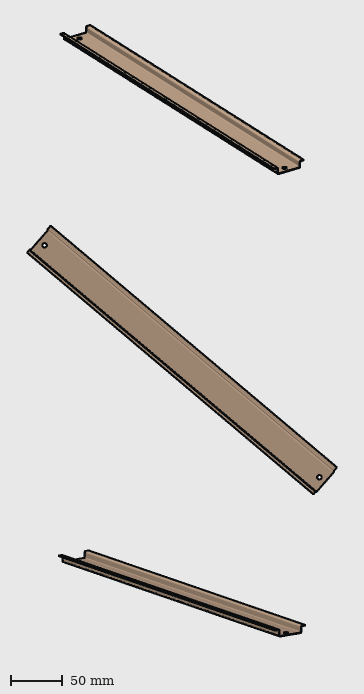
import cadquery as cq

length = 365.0
width = 35.0
height = 7.5
thickness = 1.0

channel_outer_width = 27.0
inner_bend_radius = 0.8
outer_bend_radius = inner_bend_radius + thickness

hole_diameter = 4.5
hole_end_distance = 7.3


def make_rail():
    """Folded sheet: a flat base, two upright walls and two outward flanges."""
    half_width = width / 2
    half_outer = channel_outer_width / 2
    half_inner = half_outer - thickness
    flange_bottom = height - thickness
    outline = [
        (-half_outer, 0),
        (half_outer, 0),
        (half_outer, flange_bottom),
        (half_width, flange_bottom),
        (half_width, height),
        (half_inner, height),
        (half_inner, thickness),
        (-half_inner, thickness),
        (-half_inner, height),
        (-half_width, height),
        (-half_width, flange_bottom),
        (-half_outer, flange_bottom),
    ]
    rail = cq.Workplane("YZ").polyline(outline).close().extrude(length / 2, both=True)

    for side in (-1, 1):
        inner_corners = [(half_inner, thickness), (half_outer, flange_bottom)]
        outer_corners = [(half_outer, 0), (half_inner, height)]
        for corners, radius in (
            (inner_corners, inner_bend_radius),
            (outer_corners, outer_bend_radius),
        ):
            for y, z in corners:
                edge = cq.selectors.NearestToPointSelector((0, side * y, z))
                rail = rail.edges("|X").edges(edge).fillet(radius)
    return rail


def cut_mounting_holes(rail):
    """Drill a round hole through the base near each end."""
    hole_x = length / 2 - hole_end_distance
    holes = (
        cq.Workplane("XY")
        .pushPoints([(-hole_x, 0), (hole_x, 0)])
        .circle(hole_diameter / 2)
        .extrude(height)
    )
    return rail.cut(holes)


result = cut_mounting_holes(make_rail())